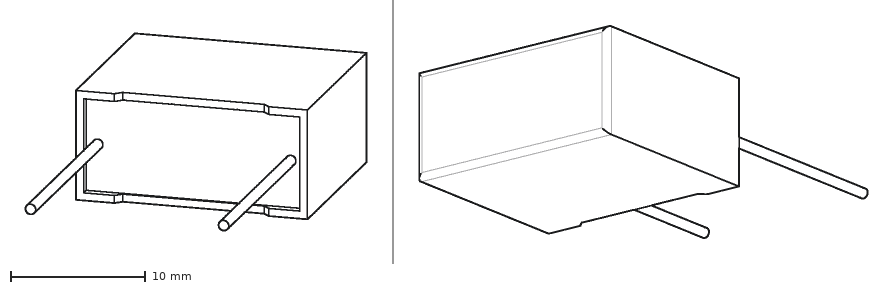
import cadquery as cq


case_width = 18.0
case_depth = 16.0
case_height = 8.51
wall = 0.6
back_edge_radius = 0.5

notch_mouth_width = 12.0
notch_depth = 0.5
notch_floor_width = notch_mouth_width - 2 * notch_depth

cavity_width = case_width - 2 * wall
cavity_height = case_height - 2 * wall
cavity_depth = case_depth - wall
fill_recess = 0.7
fill_depth = cavity_depth - fill_recess

lead_diameter = 0.8
lead_pitch = 15.0
lead_reach = 17.0
lead_length = lead_reach + fill_recess


def block_from(front_y, width, depth, height):
    """Block centred in X and Z that runs from front_y toward +Y."""
    block = cq.Workplane("XY").box(width, depth, height, centered=(True, False, True))
    return block.translate((0, front_y, 0))


def make_case():
    body = block_from(0, case_width, case_depth, case_height)
    body = body.faces(">Y").edges().fillet(back_edge_radius)
    cavity = block_from(0, cavity_width, cavity_depth, cavity_height)
    notch = (
        cq.Workplane("XY")
        .polyline([
            (-notch_mouth_width / 2, 0),
            (-notch_floor_width / 2, notch_depth),
            (notch_floor_width / 2, notch_depth),
            (notch_mouth_width / 2, 0),
        ])
        .close()
        .extrude(case_height / 2, both=True)
    )
    return body.cut(cavity).cut(notch)


def make_fill():
    return block_from(fill_recess, cavity_width, fill_depth, cavity_height)


def make_lead(x):
    """Round lead that starts on the front face of the fill."""
    return (
        cq.Workplane("XZ", origin=(x, fill_recess, 0))
        .circle(lead_diameter / 2)
        .extrude(lead_length)
    )


case = make_case()
fill = make_fill()
leads = [make_lead(side * lead_pitch / 2) for side in (-1, 1)]

result = cq.Compound.makeCompound([case.val(), fill.val(), *[lead.val() for lead in leads]])